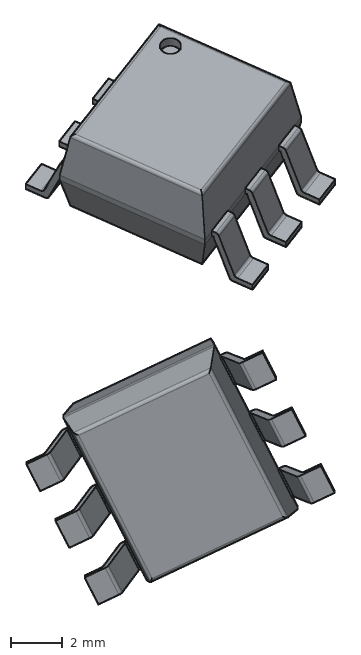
import cadquery as cq
import math

LEAD_SPAN = 10.16
OVERALL_HEIGHT = 4.6

BODY_LENGTH_X = 6.5
BODY_WIDTH_Y = 7.3
BODY_BOTTOM_Z = 0.38
BELT_TOP_Z = 2.39
TAPER_INSET = 0.31
RIM_RADIUS = 0.15

MARK_DIAMETER = 0.81
MARK_DEPTH = 0.46
MARK_X = -1.95
MARK_Y = 2.54

LEADS_PER_SIDE = 3
LEAD_PITCH = 2.54
LEAD_WIDTH = 1.21
LEAD_THICKNESS = 0.29
LEAD_LEAN = 20.0
FOOT_LENGTH = 0.78
BEND_RADIUS = 0.15

belt_bottom_z = BELT_TOP_Z - LEAD_THICKNESS


def belt_outline(z):
    """Full rectangular outline of the housing, placed at height z."""
    return cq.Workplane("XY", origin=(0, 0, z)).rect(BODY_LENGTH_X, BODY_WIDTH_Y)


def tapered_block(belt_z, end_z):
    """Frustum from the full outline at belt_z to the smaller outline at end_z."""
    return (
        belt_outline(belt_z)
        .workplane(offset=end_z - belt_z)
        .rect(BODY_LENGTH_X - 2 * TAPER_INSET, BODY_WIDTH_Y - 2 * TAPER_INSET)
        .loft(ruled=True)
    )


def make_housing():
    """Moulded housing with rounded rims and the pin-1 mark."""
    belt = belt_outline(belt_bottom_z).extrude(LEAD_THICKNESS)
    upper = tapered_block(BELT_TOP_Z, OVERALL_HEIGHT)
    lower = tapered_block(belt_bottom_z, BODY_BOTTOM_Z)
    body = belt.union(upper).union(lower)
    body = body.faces(">Z or <Z").edges().fillet(RIM_RADIUS)
    mark = (
        cq.Workplane("XY", origin=(MARK_X, MARK_Y, OVERALL_HEIGHT - MARK_DEPTH))
        .circle(MARK_DIAMETER / 2)
        .extrude(MARK_DEPTH)
    )
    return body.cut(mark)


def make_lead(y_center):
    """Gull-wing lead on the -X side, ending flush against the belt of the housing."""
    lean = math.radians(LEAD_LEAN)
    tip_x = -LEAD_SPAN / 2
    wall_x = -BODY_LENGTH_X / 2
    foot_corner_x = tip_x + FOOT_LENGTH
    shoulder_x = foot_corner_x + (BELT_TOP_Z - LEAD_THICKNESS) * math.tan(lean)
    corner_shift = LEAD_THICKNESS * math.tan((math.pi / 2 - lean) / 2)
    outline = [
        (tip_x, 0),
        (tip_x, LEAD_THICKNESS),
        (foot_corner_x, LEAD_THICKNESS),
        (shoulder_x, BELT_TOP_Z),
        (wall_x, BELT_TOP_Z),
        (wall_x, belt_bottom_z),
        (shoulder_x + corner_shift, belt_bottom_z),
        (foot_corner_x + corner_shift, 0),
    ]
    strip = (
        cq.Workplane("XZ", origin=(0, y_center + LEAD_WIDTH / 2, 0))
        .polyline(outline)
        .close()
        .extrude(LEAD_WIDTH)
    )
    rounded_corners = [
        (foot_corner_x, LEAD_THICKNESS),
        (shoulder_x, BELT_TOP_Z),
        (foot_corner_x + corner_shift, 0),
    ]
    for corner_x, corner_z in rounded_corners:
        corner = cq.selectors.NearestToPointSelector((corner_x, y_center, corner_z))
        strip = strip.edges("|Y").edges(corner).fillet(BEND_RADIUS)
    return strip


housing = make_housing()
leads = []
for index in range(LEADS_PER_SIDE):
    lead = make_lead((index - (LEADS_PER_SIDE - 1) / 2) * LEAD_PITCH)
    leads.append(lead.val())
    leads.append(lead.mirror("YZ").val())

result = cq.Compound.makeCompound([housing.val(), *leads])